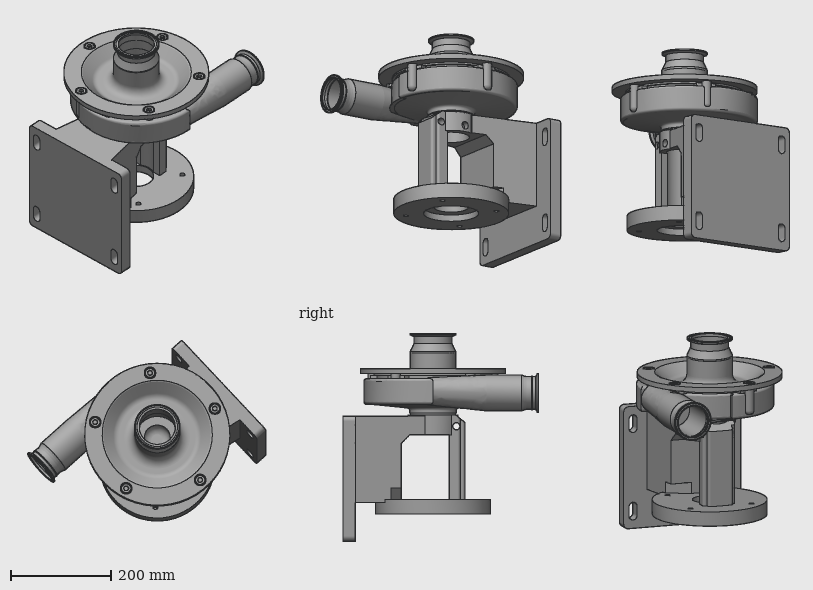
import cadquery as cq
import math


PLATE_SIZE = 250.0
PLATE_THICKNESS = 25.0
PLATE_FACE_Y = -180.0
PLATE_INNER_Y = PLATE_FACE_Y + PLATE_THICKNESS
PLATE_CORNER = 10.0
SLOT_LENGTH = 36.0
SLOT_WIDTH = 17.0
SLOT_SPACING_X = 210.0
SLOT_SPACING_Z = 179.0

DISC_RADIUS = 115.0
DISC_BOTTOM = 54.5
DISC_TOP = 84.0
DISC_HOLE_RADIUS = 34.5
DISC_BOLT_CIRCLE_RADIUS = 92.0
DISC_BOLT_DIAMETER = 10.0
DISC_BOLT_COUNT = 4
DISC_BOLT_START_ANGLE = 45.0
PILOT_RADIUS = 55.0
PILOT_DEPTH = 13.0

WEB_BOTTOM = 77.5
WEB_HALF_WIDTH_AT_PLATE = 75.0
WEB_HALF_WIDTH_AT_RING = 50.0
WEB_END_Y = -16.0
WINDOW_Y = -63.0
WINDOW_CHAMFER = 17.0
RELIEF_END_Y = -84.0
RELIEF_TOP = 106.5
RELIEF_INNER_X = 15.0

RING_RADIUS = 50.0
RING_BOTTOM = 213.0
RING_TOP = 252.5
RING_BORE_RADIUS = 36.5
GREASE_HOLE_DIAMETER = 15.0
GREASE_HOLE_Z = 226.0
COLUMN_HALF_WIDTH = 34.0
COLUMN_FRONT_Y = 32.0
COLUMN_BACK_Y = 54.5
COLUMN_CORNER = 5.0
RIB_HALF_WIDTH = 26.0
RIB_BACK_Y = 64.0
COLUMN_CHAMFER_Y = 18.6
COLUMN_CHAMFER_Z = 15.0
DRAIN_DIAMETER = 14.0
DRAIN_Y = 46.6
DRAIN_Z = 230.0

SPIRAL_START = (90, 126.0)
SPIRAL_ARCS = (((135, 127.5), (180, 129.0)), ((215, 131.0), (250, 133.4)), ((305, 143.9), (360, 146.0)))
TONGUE_RADIUS = 119.0
CASING_BOTTOM = 273.5
CASING_TOP = 325.0
CASING_FILLET = 5.5
BACK_CONE_RADIUS = 123.0
NECK_TOP = 266.5
NECK_RADIUS = 46.7
NECK_FLARE_RADIUS = 5.7
NECK_GROOVE_RADIUS = 45.0
NECK_BOTTOM = 256.0
COLLAR_RADIUS = 112.0
LIP_RADIUS = 118.0
LIP_BOTTOM = 331.5
PAD_OUTER_RADIUS = 126.0
PAD_WIDTH = 41.0

FLANGE_RADIUS = 145.0
FLANGE_BOTTOM = 335.0
FLANGE_TOP = 345.0
SCREW_CIRCLE_RADIUS = 126.5
SCREW_COUNT = 5
SCREW_START_ANGLE = 180.0
SCREW_RECESS_RADIUS = 11.5
SCREW_HEAD_RADIUS = 9.5
SCREW_HEAD_DEPTH = 5.0
SOCKET_WIDTH = 9.0
BOSS_RADIUS = 9.6
BOSS_BOTTOM = 280.0
BOSS_FILLET = 8.0

DISH_RIM_RADIUS = 110.0
DISH_EDGE_BREAK = 3.0
DISH_EDGE_DROP = 1.5
DISH_FLOOR = 321.0
DISH_FLOOR_OUTER = 76.5
DISH_FILLET_RADIUS = 15.5
DISH_WALL_ANGLE = math.radians(45)
DISH_FLARE_RADIUS = 20.0

INLET_TOP = 415.0
INLET_RADIUS = 45.7
INLET_NECK_RADIUS = 38.0
INLET_WALL = 2.0
INLET_BORE_STEP = 376.0
INLET_FLANGE_RADIUS = 45.5
INLET_CONE_BOTTOM = 379.5
INLET_CONE_TOP = 395.5
INLET_FLOOR = 310.0
EYE_RADIUS = 26.0
EYE_FILLET = 15.0
EYE_DEPTH = 20.0

OUTLET_X = 114.7
OUTLET_Z = 296.5
OUTLET_END_Y = 211.0
OUTLET_RADIUS = 36.0
OUTLET_NECK_RADIUS = 33.0
OUTLET_WALL = 1.5
OUTLET_FLANGE_RADIUS = 38.7
OUTLET_STEP_START_Y = 177.0
OUTLET_STEP_END_Y = 187.0
OUTLET_SHOULDER_Y = 182.0
OUTLET_SHOULDER_RADIUS = 34.0
OUTLET_BEAD_Y = 198.0
OUTLET_BEAD_WIDTH = 1.6
OUTLET_BEAD_HEIGHT = 0.8
THROAT_END_Y = 107.0
THROAT_START_Y = -10.0
THROAT_START_X = 118.0
THROAT_START_Z = 300.0
THROAT_START_RADIUS = 27.5

FERRULE_RIM = 2.9
FERRULE_CONE = 3.0
FERRULE_GROOVE_INSET = 3.6
FERRULE_GROOVE_RADIUS = 1.5


def cylinder(radius, bottom, top):
    return cq.Workplane("XY").workplane(offset=bottom).circle(radius).extrude(top - bottom)


def polar(radius, degrees):
    angle = math.radians(degrees)
    return (radius * math.cos(angle), radius * math.sin(angle))


def make_plate():
    plate = cq.Workplane("XZ", origin=(0, PLATE_FACE_Y, PLATE_SIZE / 2))
    body = plate.rect(PLATE_SIZE, PLATE_SIZE).extrude(-PLATE_THICKNESS).edges("|Y").fillet(PLATE_CORNER)
    slots = (
        plate.rect(SLOT_SPACING_X, SLOT_SPACING_Z, forConstruction=True)
        .vertices()
        .slot2D(SLOT_LENGTH, SLOT_WIDTH, 90)
        .extrude(-PLATE_THICKNESS)
    )
    return body.cut(slots)


def make_disc():
    bolt_holes = (
        cq.Workplane("XY")
        .workplane(offset=DISC_BOTTOM)
        .polarArray(DISC_BOLT_CIRCLE_RADIUS, DISC_BOLT_START_ANGLE, 360, DISC_BOLT_COUNT)
        .circle(DISC_BOLT_DIAMETER / 2)
        .extrude(DISC_TOP - DISC_BOTTOM)
    )
    pilot = cylinder(PILOT_RADIUS, DISC_BOTTOM, DISC_BOTTOM + PILOT_DEPTH)
    return cylinder(DISC_RADIUS, DISC_BOTTOM, DISC_TOP).cut(bolt_holes).cut(pilot)


def web_half_width(y):
    taper = (WEB_HALF_WIDTH_AT_PLATE - WEB_HALF_WIDTH_AT_RING) / (WEB_END_Y - PLATE_INNER_Y)
    return WEB_HALF_WIDTH_AT_RING + taper * (WEB_END_Y - y)


def make_web():
    """Tapered block with a window above the disc and two slanted reliefs beside the bolts."""
    plan = [
        (-WEB_HALF_WIDTH_AT_PLATE, PLATE_INNER_Y),
        (WEB_HALF_WIDTH_AT_PLATE, PLATE_INNER_Y),
        (WEB_HALF_WIDTH_AT_RING, WEB_END_Y),
        (-WEB_HALF_WIDTH_AT_RING, WEB_END_Y),
    ]
    profile = [
        (PLATE_INNER_Y, WEB_BOTTOM),
        (WINDOW_Y, WEB_BOTTOM),
        (WINDOW_Y, RING_BOTTOM - WINDOW_CHAMFER),
        (WINDOW_Y + WINDOW_CHAMFER, RING_BOTTOM),
        (WEB_END_Y, RING_BOTTOM),
        (WEB_END_Y, PLATE_SIZE),
        (PLATE_INNER_Y, PLATE_SIZE),
    ]
    block = cq.Workplane("XY").polyline(plan).close().extrude(PLATE_SIZE)
    side = cq.Workplane("YZ").polyline(profile).close().extrude(WEB_HALF_WIDTH_AT_PLATE, both=True)
    web = block.intersect(side)

    relief_plan = [
        (-RELIEF_INNER_X, WINDOW_Y),
        (-web_half_width(RELIEF_END_Y), RELIEF_END_Y),
        (-WEB_HALF_WIDTH_AT_PLATE, RELIEF_END_Y),
        (-WEB_HALF_WIDTH_AT_PLATE, WINDOW_Y),
    ]
    relief = (
        cq.Workplane("XY")
        .workplane(offset=DISC_TOP)
        .polyline(relief_plan)
        .close()
        .extrude(RELIEF_TOP - DISC_TOP)
    )
    return web.cut(relief).cut(relief.mirror("YZ"))


def column_block(half_width, front_y, back_y):
    """Upright block whose two rear edges are rounded."""
    return (
        cq.Workplane("XY")
        .workplane(offset=DISC_TOP)
        .center(0, (front_y + back_y) / 2)
        .rect(2 * half_width, back_y - front_y)
        .extrude(RING_TOP - DISC_TOP)
        .edges("|Z and >Y")
        .fillet(COLUMN_CORNER)
    )


def make_column():
    """Rear column with a back rib and a sloped top edge."""
    column = column_block(COLUMN_HALF_WIDTH, COLUMN_FRONT_Y, COLUMN_BACK_Y)
    column = column.union(column_block(RIB_HALF_WIDTH, COLUMN_FRONT_Y, RIB_BACK_Y))
    slope = [
        (RIB_BACK_Y, RING_TOP),
        (RIB_BACK_Y, RING_TOP - COLUMN_CHAMFER_Z),
        (RIB_BACK_Y - COLUMN_CHAMFER_Y, RING_TOP),
    ]
    slope_cut = cq.Workplane("YZ").polyline(slope).close().extrude(COLUMN_HALF_WIDTH, both=True)
    return column.cut(slope_cut)


def make_bracket():
    bracket = make_plate().union(make_web()).union(make_disc())
    bracket = bracket.union(make_column()).union(cylinder(RING_RADIUS, RING_BOTTOM, RING_TOP))
    bracket = bracket.cut(cylinder(RING_BORE_RADIUS, DISC_TOP, PLATE_SIZE))
    bracket = bracket.cut(cylinder(DISC_HOLE_RADIUS, DISC_BOTTOM, DISC_TOP))
    drain = (
        cq.Workplane("YZ").center(DRAIN_Y, DRAIN_Z).circle(DRAIN_DIAMETER / 2).extrude(RING_RADIUS, both=True)
    )
    grease_hole = (
        cq.Workplane("YZ").center(0, GREASE_HOLE_Z).circle(GREASE_HOLE_DIAMETER / 2).extrude(-RING_RADIUS)
    )
    return bracket.cut(drain).cut(grease_hole)


def make_volute():
    """Casing whose outer wall widens from the tongue to the throat in three arcs."""
    start_angle, start_radius = SPIRAL_START
    outline = cq.Workplane("XY").workplane(offset=CASING_BOTTOM).moveTo(*polar(TONGUE_RADIUS, start_angle))
    outline = outline.lineTo(*polar(start_radius, start_angle))
    for (middle_angle, middle_radius), (end_angle, end_radius) in SPIRAL_ARCS:
        outline = outline.threePointArc(polar(middle_radius, middle_angle), polar(end_radius, end_angle))
    outline = outline.lineTo(TONGUE_RADIUS, 0)
    outline = outline.threePointArc(polar(TONGUE_RADIUS, start_angle / 2), polar(TONGUE_RADIUS, start_angle))
    spiral = outline.close().extrude(CASING_TOP - CASING_BOTTOM)
    spiral = spiral.faces("<Z or >Z").edges().fillet(CASING_FILLET)

    flare = NECK_FLARE_RADIUS * (1 - math.cos(math.radians(45)))
    hub = (
        cq.Workplane("XZ")
        .moveTo(0, CASING_BOTTOM)
        .lineTo(BACK_CONE_RADIUS, CASING_BOTTOM)
        .lineTo(NECK_RADIUS + NECK_FLARE_RADIUS, NECK_TOP)
        .threePointArc((NECK_RADIUS + flare, NECK_TOP - flare), (NECK_RADIUS, NECK_TOP - NECK_FLARE_RADIUS))
        .lineTo(NECK_RADIUS, NECK_BOTTOM)
        .lineTo(NECK_GROOVE_RADIUS, NECK_BOTTOM)
        .lineTo(NECK_GROOVE_RADIUS, RING_TOP)
        .lineTo(0, RING_TOP)
        .close()
        .revolve(360, (0, 0), (0, 1))
    )
    return spiral.union(hub)


def turned(profile):
    return cq.Workplane("XZ").polyline(profile).close().revolve(360, (0, 0), (0, 1))


def ferrule(end, neck_radius, flange_radius, start):
    """Solid pipe neck along Z with a clamp rim and a round gasket groove in its end face."""
    profile = [
        (0, start),
        (neck_radius, start),
        (neck_radius, end - FERRULE_RIM - FERRULE_CONE),
        (flange_radius, end - FERRULE_RIM),
        (flange_radius, end),
        (0, end),
    ]
    groove = cq.Solid.makeTorus(
        flange_radius - FERRULE_GROOVE_INSET, FERRULE_GROOVE_RADIUS, cq.Vector(0, 0, end), cq.Vector(0, 0, 1)
    )
    return turned(profile).cut(cq.Workplane(groove))


def make_inlet():
    """Inlet pipe: wide at the cover, reduced to the ferrule neck."""
    pipe = turned([
        (0, INLET_FLOOR),
        (INLET_RADIUS, INLET_FLOOR),
        (INLET_RADIUS, INLET_CONE_BOTTOM),
        (INLET_NECK_RADIUS, INLET_CONE_TOP),
        (0, INLET_CONE_TOP),
    ])
    return pipe.union(ferrule(INLET_TOP, INLET_NECK_RADIUS, INLET_FLANGE_RADIUS, INLET_CONE_TOP))


def inlet_bore():
    """Stepped bore that ends in the round-bottomed impeller eye."""
    bore = cylinder(INLET_RADIUS - INLET_WALL, INLET_FLOOR, INLET_BORE_STEP)
    bore = bore.union(cylinder(INLET_NECK_RADIUS - INLET_WALL, INLET_BORE_STEP, INLET_TOP))
    eye = cylinder(EYE_RADIUS, INLET_FLOOR - EYE_DEPTH, INLET_FLOOR).faces("<Z").edges().fillet(EYE_FILLET)
    return bore.union(eye)


def place_outlet(solid):
    """Turns a solid from the Z axis onto the outlet axis, which runs along +Y."""
    return solid.rotate((0, 0, 0), (1, 0, 0), -90).translate((OUTLET_X, 0, OUTLET_Z))


def make_outlet():
    """Outlet pipe with a two-stage shoulder and a weld bead below the ferrule."""
    pipe = turned([
        (0, THROAT_END_Y),
        (OUTLET_RADIUS, THROAT_END_Y),
        (OUTLET_RADIUS, OUTLET_STEP_START_Y),
        (OUTLET_SHOULDER_RADIUS, OUTLET_SHOULDER_Y),
        (OUTLET_NECK_RADIUS, OUTLET_STEP_END_Y),
        (0, OUTLET_STEP_END_Y),
    ])
    bead = cylinder(
        OUTLET_NECK_RADIUS + OUTLET_BEAD_HEIGHT,
        OUTLET_BEAD_Y - OUTLET_BEAD_WIDTH / 2,
        OUTLET_BEAD_Y + OUTLET_BEAD_WIDTH / 2,
    )
    neck = ferrule(OUTLET_END_Y, OUTLET_NECK_RADIUS, OUTLET_FLANGE_RADIUS, OUTLET_STEP_END_Y)
    return place_outlet(pipe.union(neck).union(bead))


def outlet_bore():
    return place_outlet(cylinder(OUTLET_NECK_RADIUS - OUTLET_WALL, THROAT_END_Y, OUTLET_END_Y))


def make_bosses():
    boss = cylinder(BOSS_RADIUS, BOSS_BOTTOM, FLANGE_BOTTOM).faces("<Z").edges().fillet(BOSS_FILLET)
    return at_screws(boss.translate((SCREW_CIRCLE_RADIUS, 0, 0)))


def make_pads():
    """Round-ended blocks that join each screw boss to the collar."""
    pads = at_screws(
        cq.Workplane("XY")
        .workplane(offset=CASING_TOP)
        .center(PAD_OUTER_RADIUS / 2, 0)
        .rect(PAD_OUTER_RADIUS, PAD_WIDTH)
        .extrude(LIP_BOTTOM - CASING_TOP)
    )
    return pads.intersect(cylinder(PAD_OUTER_RADIUS, CASING_TOP, LIP_BOTTOM))


def at_screws(item):
    """Copies of an item on the +X screw position, one on each screw position."""
    copies = cq.Workplane("XY")
    for index in range(SCREW_COUNT):
        angle = SCREW_START_ANGLE + index * 360 / SCREW_COUNT
        copies = copies.add(item.rotate((0, 0, 0), (0, 0, 1), angle))
    return copies.combine()


def screw_cuts():
    """Gap around each screw head and its hexagon socket."""
    top = cq.Workplane("XY").workplane(offset=FLANGE_TOP).center(SCREW_CIRCLE_RADIUS, 0)
    gap = top.circle(SCREW_RECESS_RADIUS).circle(SCREW_HEAD_RADIUS).extrude(-SCREW_HEAD_DEPTH)
    socket = top.polygon(6, SOCKET_WIDTH / math.cos(math.pi / 6)).extrude(-SCREW_HEAD_DEPTH)
    return at_screws(gap.union(socket))


def dish_cut():
    """Ring-shaped dish around the inlet pipe."""
    rim = DISH_RIM_RADIUS - DISH_EDGE_BREAK
    lower_r = DISH_FLOOR_OUTER + DISH_FILLET_RADIUS * math.sin(DISH_WALL_ANGLE)
    lower_z = DISH_FLOOR + DISH_FILLET_RADIUS * (1 - math.cos(DISH_WALL_ANGLE))
    half = DISH_WALL_ANGLE / 2
    middle_r = DISH_FLOOR_OUTER + DISH_FILLET_RADIUS * math.sin(half)
    middle_z = DISH_FLOOR + DISH_FILLET_RADIUS * (1 - math.cos(half))
    flare = DISH_FLARE_RADIUS * (1 - math.cos(math.radians(45)))
    return (
        cq.Workplane("XZ")
        .moveTo(INLET_RADIUS, FLANGE_TOP)
        .lineTo(DISH_RIM_RADIUS, FLANGE_TOP)
        .lineTo(rim, FLANGE_TOP - DISH_EDGE_DROP)
        .lineTo(lower_r, lower_z)
        .threePointArc((middle_r, middle_z), (DISH_FLOOR_OUTER, DISH_FLOOR))
        .lineTo(INLET_RADIUS + DISH_FLARE_RADIUS, DISH_FLOOR)
        .threePointArc(
            (INLET_RADIUS + flare, DISH_FLOOR + flare),
            (INLET_RADIUS, DISH_FLOOR + DISH_FLARE_RADIUS),
        )
        .close()
        .revolve(360, (0, 0), (0, 1))
    )


def make_throat():
    """Round duct that swells out of the volute into the outlet pipe."""
    return (
        cq.Workplane("XZ", origin=(0, THROAT_START_Y, 0))
        .center(THROAT_START_X, THROAT_START_Z)
        .circle(THROAT_START_RADIUS)
        .workplane(offset=THROAT_START_Y - THROAT_END_Y)
        .center(OUTLET_X - THROAT_START_X, OUTLET_Z - THROAT_START_Z)
        .circle(OUTLET_RADIUS)
        .loft()
    )


def make_pump():
    pump = make_volute().union(make_throat())
    pump = pump.union(cylinder(COLLAR_RADIUS, CASING_TOP, FLANGE_BOTTOM))
    pump = pump.union(cylinder(LIP_RADIUS, LIP_BOTTOM, FLANGE_BOTTOM))
    pump = pump.union(make_bosses()).union(make_pads())
    pump = pump.union(cylinder(FLANGE_RADIUS, FLANGE_BOTTOM, FLANGE_TOP))
    pump = pump.cut(dish_cut()).union(make_inlet()).union(make_outlet())
    return pump.cut(inlet_bore()).cut(outlet_bore()).cut(screw_cuts())


result = make_bracket().union(make_pump())